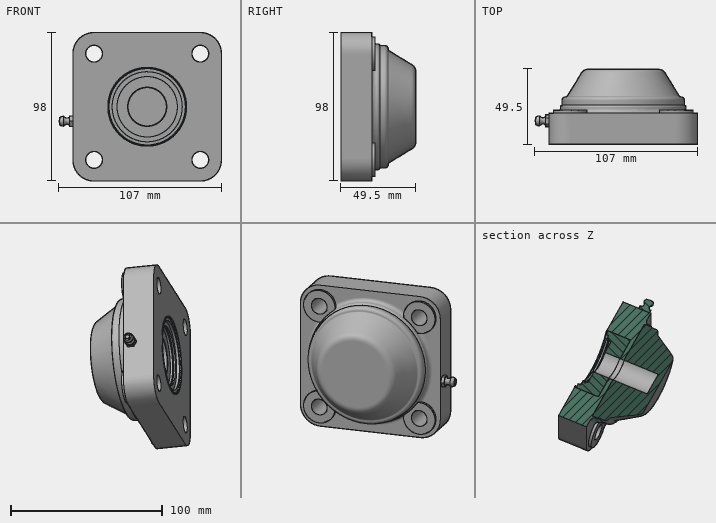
import cadquery as cq
import math


overall_length = 107

plate_side = 98.0
plate_thickness = 20.5
corner_radius = 14.0
bolt_offset = plate_side / 2 - corner_radius
bolt_hole_radius = 5.5
boss_radius = 11.0
boss_height = 2.0

shaft_radius = 12.6
entry_chamfer = 0.3

bearing_radius = 26.0
bearing_chamfer = 0.4
rim_inner_radius = 25.1
outer_ring_front = 1.0
bearing_back = 17.2
outer_ring_inner_radius = 23.1
seal_front = 2.8
seal_inner_radius = 19.9
seal_groove_front = 4.1
seal_groove_back = 4.7
seal_groove_depth = 1.0
inner_ring_front = 6.2

hub_radius = 41.5
hub_fillet_end = 23.1
hub_round_start = 24.2
hub_round_end = 25.8

cover_radius = 40.4
shoulder_round_start = 28.9
shoulder_round = 2.5
cone_base_radius = 36.8
cone_base = 32.1
cone_top_radius = 27.7
cone_top = 47.0
cover_top = 49.5
cover_end_wall = 4.3

nipple_y = 15.5
nipple_z = -9.5
hex_across_flats = 7.0
hex_length = 2.1
nipple_shoulder_radius = 3.0
nipple_neck_radius = 2.1
neck_middle = 4.1
head_back = 5.5
head_back_radius = 2.8
head_widest = 6.2
head_widest_radius = 3.3
head_middle = 7.5
head_middle_radius = 3.1
head_tip = 8.7
head_tip_radius = 2.4
ball_radius = 1.4
nipple_length = overall_length - plate_side

bolt_centres = [(sx * bolt_offset, sz * bolt_offset) for sx in (-1, 1) for sz in (-1, 1)]


def disc_stack(start, length, radius, centres=((0, 0),)):
    """Cylinders along +Y at the given (X, Z) centres, starting at Y = start."""
    plane = cq.Plane(origin=(0, start, 0), xDir=(1, 0, 0), normal=(0, -1, 0))
    return cq.Workplane(plane).pushPoints(list(centres)).circle(radius).extrude(-length)


def make_hub():
    """Round hub with a concave fillet at its foot and a rounded rim, solid before its seats are cut."""
    hub_fillet = hub_fillet_end - plate_thickness
    fillet_sagitta = hub_fillet * (1 - math.sqrt(0.5))
    return (
        cq.Workplane("XY")
        .moveTo(0, plate_thickness)
        .lineTo(hub_radius + hub_fillet, plate_thickness)
        .threePointArc(
            (hub_radius + fillet_sagitta, plate_thickness + fillet_sagitta), (hub_radius, hub_fillet_end)
        )
        .lineTo(hub_radius, hub_round_start)
        .tangentArcPoint((cover_radius, hub_round_end), relative=False)
        .lineTo(0, hub_round_end)
        .close()
        .revolve(360, (0, 0, 0), (0, 1, 0))
    )


def make_housing():
    """Rounded square plate with hub, four bolt bosses, bolt holes, and seats for bearing and cover."""
    plate = (
        cq.Workplane("XZ")
        .rect(plate_side, plate_side)
        .extrude(-plate_thickness)
        .edges("|Y")
        .fillet(corner_radius)
    )
    hub = make_hub()
    bosses = disc_stack(plate_thickness, boss_height, boss_radius, bolt_centres)
    bolt_holes = disc_stack(0, plate_thickness + boss_height, bolt_hole_radius, bolt_centres)
    bearing_seat = disc_stack(0, bearing_back, bearing_radius)
    cover_seat = disc_stack(plate_thickness, hub_round_end - plate_thickness, cover_radius)
    shaft_hole = disc_stack(0, plate_thickness, shaft_radius)
    body = plate.union(hub).union(bosses)
    return body.cut(bolt_holes).cut(bearing_seat).cut(cover_seat).cut(shaft_hole)


def make_bearing():
    """Bearing insert: outer ring with a thin flush rim, recessed seal with an annular groove, and inner ring."""
    seal_groove_radius = seal_inner_radius + seal_groove_depth
    return (
        cq.Workplane("XY")
        .moveTo(shaft_radius, bearing_back)
        .lineTo(bearing_radius, bearing_back)
        .lineTo(bearing_radius, bearing_chamfer)
        .lineTo(bearing_radius - bearing_chamfer, 0)
        .lineTo(rim_inner_radius, 0)
        .lineTo(rim_inner_radius, outer_ring_front)
        .lineTo(outer_ring_inner_radius, outer_ring_front)
        .lineTo(outer_ring_inner_radius, seal_front)
        .lineTo(seal_inner_radius, seal_front)
        .lineTo(seal_inner_radius, seal_groove_front)
        .lineTo(seal_groove_radius, seal_groove_front)
        .lineTo(seal_groove_radius, seal_groove_back)
        .lineTo(seal_inner_radius, seal_groove_back)
        .lineTo(seal_inner_radius, inner_ring_front)
        .lineTo(shaft_radius + entry_chamfer, inner_ring_front)
        .lineTo(shaft_radius, inner_ring_front + entry_chamfer)
        .close()
        .revolve(360, (0, 0, 0), (0, 1, 0))
    )


def make_cover():
    """Conical end cover on a cylindrical foot, with a blind bore for the shaft end."""
    cone_lean = math.atan2(cone_base_radius - cone_top_radius, cone_top - cone_base)
    crown_radius = (cover_top - cone_top) / (1 - math.sin(cone_lean))
    flat_radius = cone_top_radius - crown_radius * math.cos(cone_lean)
    shoulder_end_radius = cover_radius - shoulder_round
    shoulder_top = shoulder_round_start + shoulder_round
    bore_end = cover_top - cover_end_wall
    return (
        cq.Workplane("XY")
        .moveTo(shaft_radius, plate_thickness)
        .lineTo(cover_radius, plate_thickness)
        .lineTo(cover_radius, shoulder_round_start)
        .tangentArcPoint((shoulder_end_radius, shoulder_top), relative=False)
        .tangentArcPoint((cone_base_radius, cone_base), relative=False)
        .lineTo(cone_top_radius, cone_top)
        .tangentArcPoint((flat_radius, cover_top), relative=False)
        .lineTo(0, cover_top)
        .lineTo(0, bore_end)
        .lineTo(shaft_radius, bore_end)
        .close()
        .revolve(360, (0, 0, 0), (0, 1, 0))
    )


def make_nipple():
    """Grease nipple pointing along -X: hexagon, waisted neck, domed head and ball."""
    side_plane = cq.Plane(origin=(-plate_side / 2, nipple_y, nipple_z), xDir=(0, 1, 0), normal=(-1, 0, 0))
    hexagon = cq.Workplane(side_plane).polygon(6, hex_across_flats / math.cos(math.pi / 6)).extrude(hex_length)
    profile_plane = cq.Plane(origin=side_plane.origin, xDir=(0, 1, 0), normal=(0, 0, 1))
    ball_rise = nipple_length - head_tip
    ball_sphere_radius = (ball_radius**2 + ball_rise**2) / (2 * ball_rise)
    head = (
        cq.Workplane(profile_plane)
        .lineTo(nipple_shoulder_radius, 0)
        .lineTo(nipple_shoulder_radius, hex_length)
        .threePointArc((nipple_neck_radius, neck_middle), (head_back_radius, head_back))
        .lineTo(head_widest_radius, head_widest)
        .threePointArc((head_middle_radius, head_middle), (head_tip_radius, head_tip))
        .lineTo(ball_radius, head_tip)
        .radiusArc((0, nipple_length), -ball_sphere_radius)
        .close()
        .revolve(360, (0, 0, 0), (0, 1, 0))
    )
    return hexagon.union(head)


housing = make_housing()
bearing = make_bearing()
cover = make_cover()
nipple = make_nipple()

result = cq.Compound.makeCompound([housing.val(), bearing.val(), cover.val(), nipple.val()])